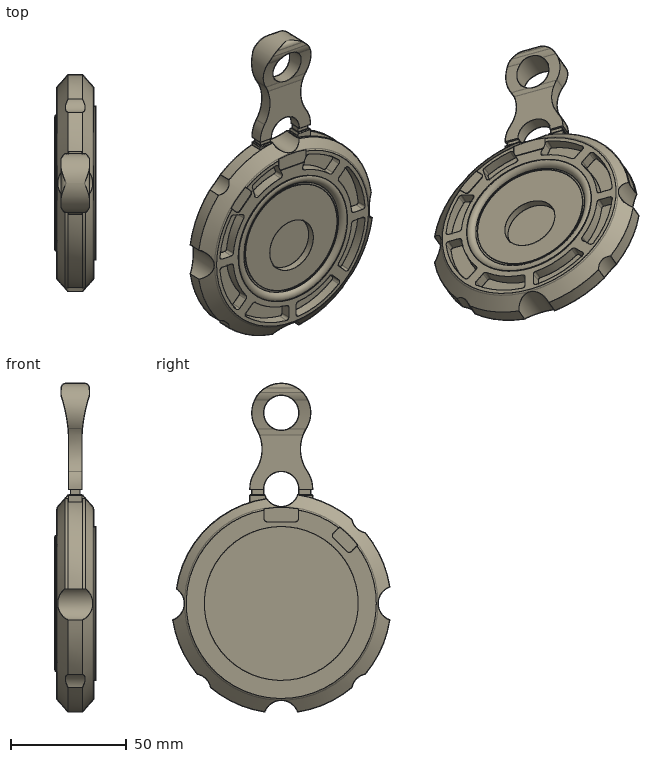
import cadquery as cq
import math


overall_height = 141.9

disc_radius = 47.4
rim_half_width = 3.1
face_x = 8.1
face_radius = 41.0
bevel_radius = 41.7
bevel_depth = 0.4
overall_half_width = 9.0
back_boss_radius = 33.2

ring_outer_radius = 29.4
ring_crest_radius = 28.0
ring_inner_radius = 25.7
ring_outer_height = 0.4
ring_floor_depth = 1.1
plate_radius = 24.8
plate_depth = 0.7
recess_radius = 11.8
recess_offset = 3.7
recess_depth = 3.4

notch_radius = 7.5
notch_centre = 49.4
notch_corner = (disc_radius**2 + notch_centre**2 - notch_radius**2) / (2 * notch_centre)
small_notch_radius = 7.1
small_notch_depth = 1.4
small_notch_centre = disc_radius - small_notch_depth + small_notch_radius

lowered_radius = 45.7
track_radius = 45.5
track_half_width = 3.1

pocket_outer_radius = 39.3
pocket_inner_radius = 32.1
pocket_depth = 4.5
pocket_corner = 1.3
spoke_overlap = 1.4
pocket_taper = 4
pocket_spokes = [
    (0, 4.5, 8.8),
    (45, 2.4, 2.4),
    (90, 2.0, 2.0),
    (135, 2.4, 2.4),
    (180, 2.0, 2.0),
    (225, 2.4, 2.4),
    (270, 2.0, 2.0),
    (315, 3.3, 8.8),
]

pad_depth = 0.3
pad_corner = 1.4
top_pad_half_width = 7.4
top_pad_inner = 35.2
side_pad_half_width = 5.5
side_pad_inner = 35.9

eye_radius = 12.8
eye_hole_radius = 7.5
eye_centre = overall_height - notch_corner - eye_radius
arm_half_thickness = 3.0
leg_radius = 13.6
leg_bottom = 49.1
waist_radius = 17.0
swell_start_z = 72.7
swell_foot = (3.1, 75.2)
swell_middle = (4.1, 81.9)
swell_shoulder = (5.5, 87.8)
crown_lower_middle = (6.1, 89.5)
crown_widest = (6.2, 91.0)
crown_corner = (6.1, 93.0)
crown_corner_middle = (5.5, 94.4)
crown_half_width = 4.0
neck_inset = 0.9
foot_chamfer = 0.4
foot_inner_y = 6.7
foot_top = 47.1
foot_bottom = 43.7


def disc_at(radius, x_start, x_end, z=0.0):
    """Cylinder along X from x_start to x_end."""
    return cq.Workplane("YZ", origin=(x_start, 0, 0)).center(0, z).circle(radius).extrude(x_end - x_start)


def ring_at(outer, inner, x_start, x_end):
    return disc_at(outer, x_start, x_end).cut(disc_at(inner, x_start, x_end))


def box_between(x_limits, y_limits, z_limits):
    sizes = [high - low for low, high in (x_limits, y_limits, z_limits)]
    corner = (x_limits[0], y_limits[0], z_limits[0])
    return cq.Workplane("XY").box(*sizes, centered=False).translate(corner)


def turn(shape, angle):
    """Turn a shape about the disc axis, from +Z towards -Y for positive angles."""
    return shape.rotate((0, 0, 0), (1, 0, 0), angle)


def make_body():
    """Revolve the half section, from the +X boss round the rim to the -X ring and plate."""
    plate_x = plate_depth - face_x
    groove_x = ring_floor_depth - face_x
    section = (
        cq.Workplane("XY")
        .moveTo(overall_half_width, 0)
        .lineTo(overall_half_width, back_boss_radius)
        .lineTo(face_x, back_boss_radius)
        .lineTo(face_x, face_radius)
        .lineTo(face_x - bevel_depth, bevel_radius)
        .lineTo(rim_half_width, disc_radius)
        .lineTo(-rim_half_width, disc_radius)
        .lineTo(bevel_depth - face_x, bevel_radius)
        .lineTo(-face_x, face_radius)
        .lineTo(-face_x, ring_outer_radius)
        .lineTo(-face_x - ring_outer_height, ring_outer_radius)
        .threePointArc((-overall_half_width, ring_crest_radius), (groove_x, ring_inner_radius))
        .lineTo(groove_x, plate_radius)
        .lineTo(plate_x, plate_radius)
        .lineTo(plate_x, 0)
        .close()
    )
    body = section.revolve(360, (0, 0, 0), (1, 0, 0))
    return body.cut(disc_at(recess_radius, plate_x, plate_x + recess_depth, z=-recess_offset))


def lowered_rim():
    """Material removed from the rim over the quarter towards -Y and +Z."""
    reach = 2 * disc_radius
    quarter = box_between((-reach, reach), (-reach, 0), (0, reach))
    rim = ring_at(reach, lowered_radius, -face_x, face_x)
    track = ring_at(reach, track_radius, -track_half_width, track_half_width)
    return rim.union(track).intersect(quarter)


def spoke(angle, inner_half_width, outer_half_width):
    """Wedge left standing between two neighbouring pockets."""
    outline = [
        (-inner_half_width, pocket_inner_radius - spoke_overlap),
        (inner_half_width, pocket_inner_radius - spoke_overlap),
        (outer_half_width, pocket_outer_radius + spoke_overlap),
        (-outer_half_width, pocket_outer_radius + spoke_overlap),
    ]
    wedge = cq.Workplane("YZ", origin=(-face_x, 0, 0)).polyline(outline).close().extrude(pocket_depth)
    return turn(wedge, angle)


def pockets():
    """Eight ring pockets with rounded corners and slightly drafted walls."""
    blank = ring_at(pocket_outer_radius, pocket_inner_radius, -face_x, pocket_depth - face_x)
    for angle, inner_half_width, outer_half_width in pocket_spokes:
        blank = blank.cut(spoke(angle, inner_half_width, outer_half_width))
    rounded = blank.edges("|X").fillet(pocket_corner)
    return (
        cq.Workplane("YZ", origin=(-face_x, 0, 0))
        .add(rounded.faces("<X").wires().vals())
        .toPending()
        .extrude(pocket_depth, taper=pocket_taper)
    )


def pad(angle, half_width, inner):
    """Shallow pad cutter, sunk into both faces, open towards the rim."""
    floor_x = face_x - pad_depth
    block = box_between((-face_x, face_x), (-half_width, half_width), (inner, disc_radius))
    block = block.edges("|X and <Z").fillet(pad_corner)
    core = box_between((-floor_x, floor_x), (-half_width, half_width), (inner, disc_radius))
    return turn(block.cut(core), angle)


def hanger_outline():
    """Outline across Y and Z: eye, waist and forked legs, as a prism along X."""
    reach = overall_half_width
    to_eye = eye_radius + waist_radius
    to_leg = leg_radius + waist_radius
    span = eye_centre - notch_centre
    above_leg = (span**2 + to_leg**2 - to_eye**2) / (2 * span)
    aside = math.sqrt(to_leg**2 - above_leg**2)
    waist_z = notch_centre + above_leg
    eye_touch = (aside * eye_radius / to_eye, eye_centre + (waist_z - eye_centre) * eye_radius / to_eye)
    leg_touch = (aside * leg_radius / to_leg, notch_centre + above_leg * leg_radius / to_leg)
    leg_middle_angle = math.atan2(above_leg, aside) / 2
    leg_end = math.sqrt(leg_radius**2 - (leg_bottom - notch_centre) ** 2)
    leg_middle = (
        leg_radius * math.cos(leg_middle_angle),
        notch_centre + leg_radius * math.sin(leg_middle_angle),
    )
    outline = (
        cq.Workplane("YZ", origin=(-reach, 0, 0))
        .moveTo(-leg_end, leg_bottom)
        .lineTo(leg_end, leg_bottom)
        .threePointArc(leg_middle, leg_touch)
        .threePointArc((aside - waist_radius, waist_z), eye_touch)
        .threePointArc((0, eye_centre + eye_radius), (-eye_touch[0], eye_touch[1]))
        .threePointArc((waist_radius - aside, waist_z), (-leg_touch[0], leg_touch[1]))
        .threePointArc((-leg_middle[0], leg_middle[1]), (-leg_end, leg_bottom))
        .close()
        .extrude(2 * reach)
    )
    return outline.cut(disc_at(eye_hole_radius, -reach, reach, z=eye_centre))


def hanger_side():
    """Outline across X and Z: flat arm that swells into the thick, rounded top of the eye."""
    top = eye_centre + eye_radius
    right = (
        cq.Workplane("XZ", origin=(0, leg_radius, 0))
        .moveTo(0, leg_bottom)
        .lineTo(arm_half_thickness, leg_bottom)
        .lineTo(arm_half_thickness, swell_start_z)
        .lineTo(*swell_foot)
        .threePointArc(swell_middle, swell_shoulder)
        .threePointArc(crown_lower_middle, crown_widest)
        .lineTo(*crown_corner)
        .threePointArc(crown_corner_middle, (crown_half_width, top))
        .lineTo(0, top)
        .close()
        .extrude(2 * leg_radius)
    )
    return right.union(right.mirror("YZ"))


def feet():
    """Necked feet that join the two legs to the rim."""
    thick = arm_half_thickness
    shapes = cq.Workplane("XY")
    for side in (-1, 1):
        y_foot = sorted((side * foot_inner_y, side * leg_radius))
        y_neck = (y_foot[0] + neck_inset, y_foot[1] - neck_inset)
        neck_x = thick - neck_inset
        foot = box_between((-thick, thick), y_foot, (foot_bottom, foot_top))
        foot = foot.faces(">Z").chamfer(foot_chamfer)
        neck = box_between((-neck_x, neck_x), y_neck, (foot_top, leg_bottom))
        shapes = shapes.union(foot).union(neck)
    return shapes


body = make_body().cut(lowered_rim()).cut(pockets())
body = body.cut(pad(0, top_pad_half_width, top_pad_inner))
body = body.cut(pad(315, side_pad_half_width, side_pad_inner))

small_notch = disc_at(small_notch_radius, -face_x, face_x, z=small_notch_centre)
for notch_angle in (135, 225, 315):
    body = body.cut(turn(small_notch, notch_angle))

result = body.union(hanger_outline().intersect(hanger_side())).union(feet())

notch = disc_at(notch_radius, -face_x, face_x, z=notch_centre)
for notch_angle in (0, 90, 180, 270):
    result = result.cut(turn(notch, notch_angle))